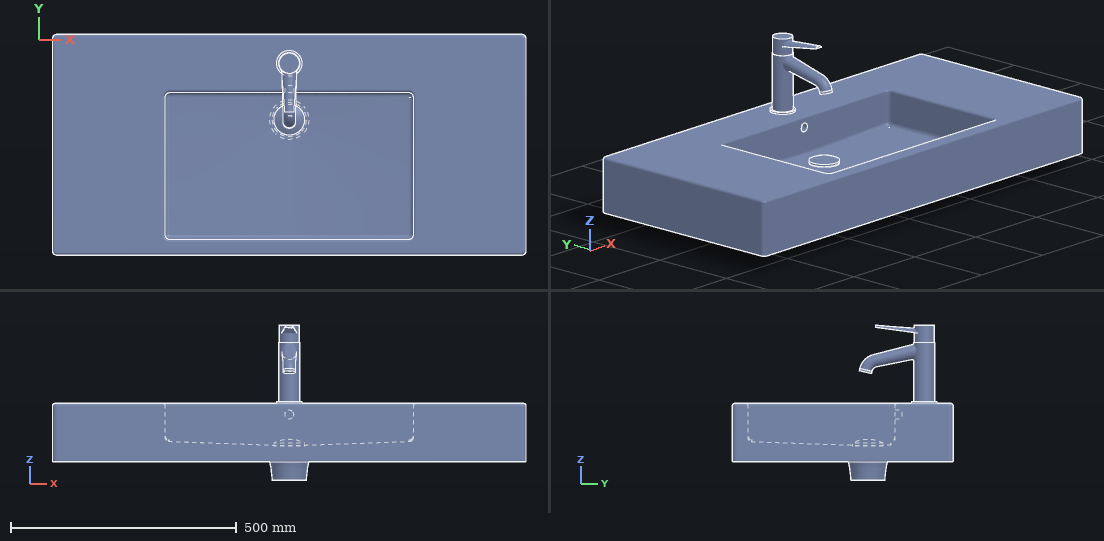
import cadquery as cq
import math

BASIN_LENGTH = 1050.0
BASIN_WIDTH = 490.0
BASIN_HEIGHT = 130.0
BASIN_CORNER_RADIUS = 10.0
BASIN_TOP_RADIUS = 6.0
BASIN_BOTTOM_RADIUS = 3.0

BOWL_LENGTH = 550.0
BOWL_WIDTH = 325.0
BOWL_CENTER_Y = -47.0
BOWL_CORNER_RADIUS = 10.0
BOWL_FLOOR_RADIUS = 9.0
BOWL_RIM_RADIUS = 6.0
FLOOR_SLOPE = 2.0
BOWL_BACK_Y = BOWL_CENTER_Y + BOWL_WIDTH / 2

OVERFLOW_DIAMETER = 20.0
OVERFLOW_DEPTH = 16.0
OVERFLOW_Z = 105.0

DRAIN_Y = 56.0
DRAIN_Z = 36.0
PLUG_DIAMETER = 68.0
PLUG_RIM_HEIGHT = 6.0
PLUG_DOME_HEIGHT = 8.0
TAIL_TOP_DIAMETER = 87.0
TAIL_STEP_DIAMETER = 82.0
TAIL_END_DIAMETER = 76.0
TAIL_STEP_DEPTH = 13.0
TAIL_DEPTH = 41.0

FAUCET_Y = 181.0
RING_DIAMETER = 57.0
RING_HEIGHT = 4.0
COLUMN_DIAMETER = 47.0
COLUMN_TOP_Z = 265.0
HANDLE_DIAMETER = 45.0
HANDLE_TOP_Z = 303.0

LEVER_ROOT_WIDTH = 37.0
LEVER_ROOT_THICKNESS = 12.0
LEVER_ROOT_Z = 284.0
LEVER_TIP_WIDTH = 20.0
LEVER_TIP_THICKNESS = 5.0
LEVER_TIP_Z = 298.0
LEVER_LENGTH = 108.0
LEVER_BLEND_RADIUS = 2.0

SPOUT_START_OFFSET = 13.0
SPOUT_START_Z = 247.0
SPOUT_ROOT_DIAMETER = 34.0
SPOUT_END_DIAMETER = 28.0
SPOUT_LENGTH = 99.0
SPOUT_SLOPE = 13.0
SPOUT_BLEND_RADIUS = 3.0
BEND_RADIUS = 27.0
BEND_ANGLE = 64.0
AERATOR_THICKNESS = 5.0

PICK_MARGIN = 1.0

SPOUT_START = cq.Vector(0, FAUCET_Y - SPOUT_START_OFFSET, SPOUT_START_Z)


def direction_down(angle):
    """Unit vector toward -Y, tilted down by the given angle in degrees."""
    return cq.Vector(0, -math.cos(math.radians(angle)), -math.sin(math.radians(angle)))


def make_bowl_space():
    """Upright-walled box that stands on a shallow cone with its apex at the drain."""
    walls = (
        cq.Workplane("XY", origin=(0, BOWL_CENTER_Y, DRAIN_Z))
        .rect(BOWL_LENGTH, BOWL_WIDTH)
        .extrude(BASIN_HEIGHT - DRAIN_Z)
    )
    cone_radius = BOWL_LENGTH
    above_floor = (
        cq.Workplane("XZ", origin=(0, DRAIN_Y, DRAIN_Z))
        .lineTo(cone_radius, cone_radius * math.tan(math.radians(FLOOR_SLOPE)))
        .lineTo(cone_radius, BASIN_HEIGHT)
        .lineTo(0, BASIN_HEIGHT)
        .close()
        .revolve(360, (0, 0, 0), (0, 1, 0))
    )
    space = walls.intersect(above_floor).edges("|Z").fillet(BOWL_CORNER_RADIUS)
    return space.faces("%CONE").edges("not %LINE").fillet(BOWL_FLOOR_RADIUS)


def make_basin():
    block = (
        cq.Workplane("XY")
        .box(BASIN_LENGTH, BASIN_WIDTH, BASIN_HEIGHT, centered=(True, True, False))
        .edges("|Z").fillet(BASIN_CORNER_RADIUS)
        .faces(">Z").edges().fillet(BASIN_TOP_RADIUS)
        .faces("<Z").edges().fillet(BASIN_BOTTOM_RADIUS)
        .cut(make_bowl_space())
    )
    block = block.faces(">Z").wires(cq.selectors.LengthNthSelector(0)).fillet(BOWL_RIM_RADIUS)
    overflow = (
        cq.Workplane("XZ", origin=(0, BOWL_BACK_Y, OVERFLOW_Z))
        .circle(OVERFLOW_DIAMETER / 2)
        .extrude(-OVERFLOW_DEPTH)
    )
    return block.cut(overflow).cut(make_plug())


def make_plug():
    radius = PLUG_DIAMETER / 2
    rim_z = DRAIN_Z + PLUG_RIM_HEIGHT
    dome_z = rim_z + PLUG_DOME_HEIGHT
    dome_radius = (radius**2 + PLUG_DOME_HEIGHT**2) / (2 * PLUG_DOME_HEIGHT)
    half_angle = math.asin(radius / dome_radius) / 2
    dome_middle = (
        dome_radius * math.sin(half_angle),
        dome_z - dome_radius * (1 - math.cos(half_angle)),
    )
    return (
        cq.Workplane("XZ", origin=(0, DRAIN_Y, 0))
        .moveTo(0, DRAIN_Z)
        .lineTo(radius, DRAIN_Z)
        .lineTo(radius, rim_z)
        .threePointArc(dome_middle, (0, dome_z))
        .close()
        .revolve(360, (0, 0, 0), (0, 1, 0))
    )


def make_tailpiece():
    return (
        cq.Workplane("XZ", origin=(0, DRAIN_Y, 0))
        .moveTo(0, 0)
        .lineTo(TAIL_TOP_DIAMETER / 2, 0)
        .lineTo(TAIL_STEP_DIAMETER / 2, -TAIL_STEP_DEPTH)
        .lineTo(TAIL_END_DIAMETER / 2, -TAIL_DEPTH)
        .lineTo(0, -TAIL_DEPTH)
        .close()
        .revolve(360, (0, 0, 0), (0, 1, 0))
    )


def upright_cylinder(diameter, bottom_z, top_z):
    return (
        cq.Workplane("XY", origin=(0, FAUCET_Y, bottom_z))
        .circle(diameter / 2)
        .extrude(top_z - bottom_z)
    )


def make_base_ring():
    return upright_cylinder(RING_DIAMETER, BASIN_HEIGHT, BASIN_HEIGHT + RING_HEIGHT)


def spout_end():
    """Point where the tapered tube meets the bend."""
    return SPOUT_START + direction_down(SPOUT_SLOPE) * SPOUT_LENGTH


def bend_point(angle):
    """Point on the bend's centerline after turning down by the given angle in degrees."""
    center = spout_end() + direction_down(SPOUT_SLOPE + 90) * BEND_RADIUS
    return center - direction_down(SPOUT_SLOPE + angle + 90) * BEND_RADIUS


def make_column():
    column = upright_cylinder(COLUMN_DIAMETER, BASIN_HEIGHT + RING_HEIGHT, COLUMN_TOP_Z)
    tube = cq.Solid.makeCone(
        SPOUT_ROOT_DIAMETER / 2,
        SPOUT_END_DIAMETER / 2,
        SPOUT_LENGTH,
        SPOUT_START,
        direction_down(SPOUT_SLOPE),
    )
    body = column.union(cq.Workplane(tube))
    root_edge = cq.selectors.BoxSelector(
        (-COLUMN_DIAMETER / 2, FAUCET_Y - COLUMN_DIAMETER / 2, SPOUT_START_Z - SPOUT_ROOT_DIAMETER),
        (COLUMN_DIAMETER / 2, FAUCET_Y, COLUMN_TOP_Z - PICK_MARGIN),
    )
    body = body.edges(root_edge).fillet(SPOUT_BLEND_RADIUS)
    bend_path = cq.Edge.makeThreePointArc(
        spout_end(), bend_point(BEND_ANGLE / 2), bend_point(BEND_ANGLE)
    )
    bend = (
        cq.Workplane(cq.Plane(spout_end(), (1, 0, 0), direction_down(SPOUT_SLOPE)))
        .circle(SPOUT_END_DIAMETER / 2)
        .sweep(cq.Workplane(bend_path))
    )
    return body.union(bend)


def make_aerator():
    return cq.Workplane(
        cq.Solid.makeCylinder(
            SPOUT_END_DIAMETER / 2,
            AERATOR_THICKNESS,
            bend_point(BEND_ANGLE),
            direction_down(SPOUT_SLOPE + BEND_ANGLE),
        )
    )


def lever_section(y, z, width, thickness):
    """Wire with a flat underside and an arched top, in a plane across Y."""
    left = cq.Vector(-width / 2, y, z)
    right = cq.Vector(width / 2, y, z)
    crown = cq.Vector(0, y, z + thickness)
    return cq.Wire.assembleEdges(
        [cq.Edge.makeLine(left, right), cq.Edge.makeThreePointArc(right, crown, left)]
    )


def make_handle():
    cap = upright_cylinder(HANDLE_DIAMETER, COLUMN_TOP_Z, HANDLE_TOP_Z)
    root = lever_section(FAUCET_Y, LEVER_ROOT_Z, LEVER_ROOT_WIDTH, LEVER_ROOT_THICKNESS)
    tip = lever_section(FAUCET_Y - LEVER_LENGTH, LEVER_TIP_Z, LEVER_TIP_WIDTH, LEVER_TIP_THICKNESS)
    handle = cap.union(cq.Workplane(cq.Solid.makeLoft([root, tip], True)))
    root_edge = cq.selectors.BoxSelector(
        (-HANDLE_DIAMETER / 2, FAUCET_Y - HANDLE_DIAMETER / 2 - PICK_MARGIN, LEVER_ROOT_Z - PICK_MARGIN),
        (HANDLE_DIAMETER / 2, FAUCET_Y, HANDLE_TOP_Z - PICK_MARGIN),
    )
    return handle.edges(root_edge).fillet(LEVER_BLEND_RADIUS)


basin = make_basin()
plug = make_plug()
tailpiece = make_tailpiece()
base_ring = make_base_ring()
column = make_column()
aerator = make_aerator()
handle = make_handle()

result = cq.Compound.makeCompound(
    [
        basin.val(),
        plug.val(),
        tailpiece.val(),
        base_ring.val(),
        column.val(),
        aerator.val(),
        handle.val(),
    ]
)